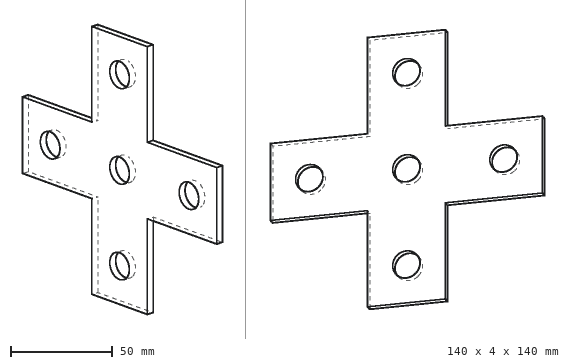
import cadquery as cq

span = 140.0
arm_width = 40.0
thickness = 4.0
hole_diameter = 14.0

hole_pitch = (span - arm_width) / 2


def centred_bar(size_x, size_z):
    """Flat bar centred on the origin, with its thickness along Y."""
    return cq.Workplane("XY").box(size_x, thickness, size_z)


cross = centred_bar(span, arm_width).union(centred_bar(arm_width, span))

hole_centres = [
    (0, 0),
    (hole_pitch, 0),
    (-hole_pitch, 0),
    (0, hole_pitch),
    (0, -hole_pitch),
]
result = (
    cross.faces("<Y")
    .workplane(origin=(0, 0, 0))
    .pushPoints(hole_centres)
    .hole(hole_diameter)
)